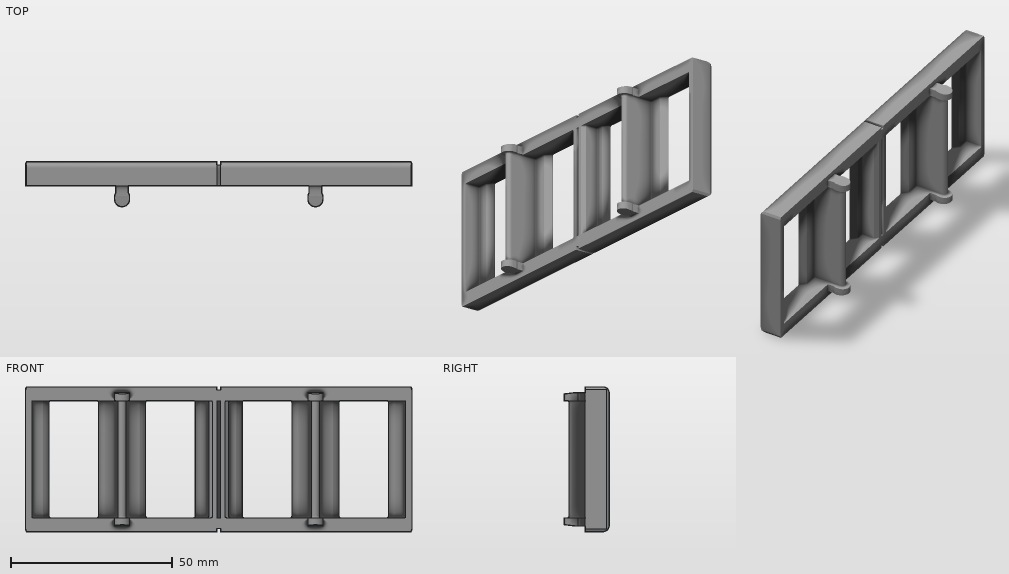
import cadquery as cq
import math

length = 120.0
height = 45.0
depth = 7.5
end_wall = 2.0
rail_height = 4.35
end_bevel = 0.4
end_bevel_run = 0.8
back_rail_radius = 2.0

bar_pitch = 30.0
bar_width = 14.7
bar_front_width = 11.0
bar_thickness = 2.0
bar_land = 0.3
bar_side_bulge = 0.06
bar_edge_radius = 0.45
inner_radius = 0.4

middle_width = 6.2
middle_chamfer = 1.1
joint_gap = 1.1
groove_depth = 1.0
slot_floor = 2.0

fin_width = 2.4
fin_reach = 5.05

lug_reach = 6.5
lug_neck_width = 4.0
lug_head_width = 4.7
lug_neck_length = 2.2
lug_slope_start = 3.25
lug_thickness = 2.55
lug_tip_drop = 0.4

opening_height = height - 2 * rail_height
opening_top = opening_height / 2
bar_front = depth - bar_thickness
fin_positions = (-bar_pitch, bar_pitch)
bar_positions = [i * bar_pitch for i in range(-2, 3)]
tolerance = 0.01


def prism_z(outline, z_size):
    """Extrude an XY outline along Z, centred on z = 0."""
    return outline.extrude(z_size / 2, both=True)


def rounded_block(inset, x_size):
    """Block with rounded back rail edges, inset from the outer height and back."""
    block = cq.Workplane("XY").box(x_size, depth - inset, height - 2 * inset)
    block = block.translate((0, (depth - inset) / 2, 0))
    return block.edges("|X and >Y").fillet(back_rail_radius - inset)


def bevelled_outline(plane, across):
    """Rectangle of the full length along X with its four corners bevelled."""
    half_length = length / 2
    half_across = across / 2
    return (
        cq.Workplane(plane)
        .moveTo(half_length - end_bevel, half_across)
        .lineTo(half_length, half_across - end_bevel_run)
        .lineTo(half_length, end_bevel_run - half_across)
        .lineTo(half_length - end_bevel, -half_across)
        .lineTo(end_bevel - half_length, -half_across)
        .lineTo(-half_length, end_bevel_run - half_across)
        .lineTo(-half_length, half_across - end_bevel_run)
        .lineTo(end_bevel - half_length, half_across)
        .close()
    )


def outer_block():
    """Frame envelope whose ends are bevelled at the top, bottom and back."""
    front_shape = bevelled_outline("XZ", height).extrude(depth, both=True)
    top_shape = bevelled_outline("XY", 2 * depth).extrude(height, both=True)
    return rounded_block(0, length).intersect(front_shape).intersect(top_shape)


def openings():
    """Two openings through the frame, chamfered at the front beside the middle joint."""
    outer_x = length / 2 - end_wall
    inner_x = middle_width / 2
    outline = (
        cq.Workplane("XY")
        .moveTo(outer_x, 0)
        .lineTo(outer_x, depth)
        .lineTo(inner_x, depth)
        .lineTo(inner_x, middle_chamfer)
        .lineTo(inner_x - middle_chamfer, 0)
        .close()
    )
    right = prism_z(outline, opening_height)
    return right.union(right.mirror("YZ"))


def bar(x):
    """Back bar with slightly bulging sides that slope towards the front."""
    half = bar_width / 2
    front_half = bar_front_width / 2
    land_y = depth - bar_land
    mid_x = (half + front_half) / 2 + bar_side_bulge
    mid_y = (land_y + bar_front) / 2 - bar_side_bulge
    outline = (
        cq.Workplane("XY")
        .moveTo(-half, depth)
        .lineTo(half, depth)
        .lineTo(half, land_y)
        .threePointArc((mid_x, mid_y), (front_half, bar_front))
        .lineTo(-front_half, bar_front)
        .threePointArc((-mid_x, mid_y), (-half, land_y))
        .close()
    )
    solid = prism_z(outline, opening_height).edges("|Z and <Y").fillet(bar_edge_radius)
    return solid.translate((x, 0, 0))


def fin(x):
    """Upright fin with a fully rounded front edge."""
    radius = fin_width / 2
    outline = (
        cq.Workplane("XY")
        .moveTo(x - radius, depth - bar_thickness / 2)
        .lineTo(x - radius, radius - fin_reach)
        .threePointArc((x, -fin_reach), (x + radius, radius - fin_reach))
        .lineTo(x + radius, depth - bar_thickness / 2)
        .close()
    )
    return prism_z(outline, opening_height)


def cavity():
    """Space inside the frame, around the bars and fins."""
    space = openings()
    for x in bar_positions:
        space = space.cut(bar(x))
    for x in fin_positions:
        space = space.cut(fin(x))
    return space


def lug(x):
    """Round-headed lug above the opening, its outer face sloping down to the tip."""
    neck = lug_neck_width / 2
    head = lug_head_width / 2
    head_centre = head - lug_reach
    shoulder = lug_slope_start - lug_neck_length
    step = head - neck
    shoulder_radius = (shoulder**2 + step**2) / (2 * step)
    half_angle = math.asin(shoulder / shoulder_radius) / 2
    mid_x = head - shoulder_radius * (1 - math.cos(half_angle))
    mid_y = -lug_slope_start + shoulder_radius * math.sin(half_angle)
    outline = (
        cq.Workplane("XY")
        .moveTo(-neck, 0)
        .lineTo(-neck, -lug_neck_length)
        .threePointArc((-mid_x, mid_y), (-head, -lug_slope_start))
        .lineTo(-head, head_centre)
        .threePointArc((0, -lug_reach), (head, head_centre))
        .lineTo(head, -lug_slope_start)
        .threePointArc((mid_x, mid_y), (neck, -lug_neck_length))
        .lineTo(neck, 0)
        .close()
    )
    solid = outline.extrude(lug_thickness)
    slope = (
        cq.Workplane("YZ")
        .moveTo(-lug_slope_start, lug_thickness)
        .lineTo(-lug_reach, lug_thickness)
        .lineTo(-lug_reach, lug_thickness - lug_tip_drop)
        .close()
        .extrude(lug_head_width, both=True)
    )
    return solid.cut(slope).translate((x, 0, opening_top))


def joint_groove():
    """Groove running over the top, back and bottom of the frame at mid-length."""
    band = cq.Workplane("XY").box(joint_gap, 4 * depth, 2 * height)
    return band.cut(rounded_block(groove_depth, joint_gap))


def joint_slot():
    """Round-bottomed slot between the two middle walls, open at the front."""
    radius = joint_gap / 2
    floor = depth - slot_floor
    outline = (
        cq.Workplane("XY")
        .moveTo(-radius, 0)
        .lineTo(-radius, floor - radius)
        .threePointArc((0, floor), (radius, floor - radius))
        .lineTo(radius, 0)
        .close()
    )
    return prism_z(outline, opening_height)


def is_inner_corner(edge):
    """True for the edges where the rails, walls, bars, fins and lugs meet inside the openings."""
    box = edge.BoundingBox()
    on_rail = abs(abs(edge.Center().z) - opening_top) < tolerance and box.zlen < tolerance
    crosses_opening = box.ymax > tolerance and box.ymin < depth - tolerance
    fin_tip = box.ymax < -tolerance and abs(box.ymin + fin_reach) < tolerance
    if on_rail:
        return crosses_opening or fin_tip

    on_bar_front = abs(box.ymin - bar_front) + abs(box.ymax - bar_front) < tolerance
    x = abs(edge.Center().x)
    corners = (
        length / 2 - end_wall,
        middle_width / 2,
        bar_pitch - fin_width / 2,
        bar_pitch + fin_width / 2,
    )
    return on_bar_front and any(abs(x - corner) < tolerance for corner in corners)


def frame_with_fins():
    """Frame, bars, fins and lugs with filleted inner corners."""
    body = outer_block().cut(cavity())
    for x in fin_positions:
        upper_lug = lug(x)
        body = body.union(fin(x)).union(upper_lug).union(upper_lug.mirror("XY"))
    inner_corners = [edge for edge in body.edges().vals() if is_inner_corner(edge)]
    return body.newObject(inner_corners).fillet(inner_radius)


result = frame_with_fins().cut(joint_groove()).cut(joint_slot())